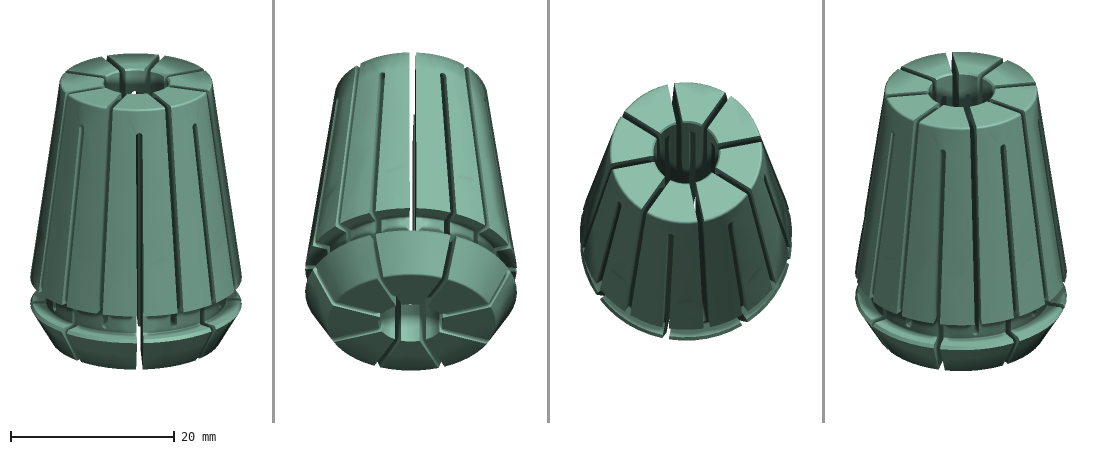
import cadquery as cq
import math


height = 34.0
max_radius = 13.0
rim_fillet = 0.3

nose_angle = 30.0
nose_height = 4.6
ledge_z = 5.0
ledge_bevel = 0.27

neck_radius = 11.0
neck_fillet = 0.2
groove_top_z = 8.13

taper_angle = 8.0

bore_radius = 4.0
bore_chamfer = 0.2

slots_per_set = 8
slot_width = 0.8
slot_overrun = 0.35
lower_slot_end_z = 31.08
upper_slot_end_z = 5.47
slot_pitch = 360.0 / slots_per_set

nose_radius = max_radius - nose_height * math.tan(math.radians(nose_angle))
taper_top_radius = max_radius - (height - groove_top_z) * math.tan(math.radians(taper_angle))


def make_body():
    """Revolved outer shape: nose cone, groove and main taper, with rounded end rims."""
    profile = (
        cq.Workplane("XZ")
        .lineTo(nose_radius, 0)
        .lineTo(max_radius, nose_height)
        .lineTo(max_radius - ledge_bevel, ledge_z)
        .lineTo(neck_radius + neck_fillet, ledge_z)
        .tangentArcPoint((neck_radius, ledge_z + neck_fillet), relative=False)
        .lineTo(neck_radius, groove_top_z - neck_fillet)
        .tangentArcPoint((neck_radius + neck_fillet, groove_top_z), relative=False)
        .lineTo(max_radius, groove_top_z)
        .lineTo(taper_top_radius, height)
        .lineTo(0, height)
        .close()
    )
    body = profile.revolve(360, (0, 0, 0), (0, 1, 0))
    return body.faces(">Z or <Z").edges().fillet(rim_fillet)


def cut_bore(body):
    """Through bore with a chamfered mouth at the top."""
    bore = cq.Workplane("XY").circle(bore_radius).extrude(height)
    mouth = (
        cq.Workplane("XY", origin=(0, 0, height - bore_chamfer))
        .circle(bore_radius)
        .workplane(offset=bore_chamfer)
        .circle(bore_radius + bore_chamfer)
        .loft()
    )
    return body.cut(bore).cut(mouth)


def make_slot(open_z, end_z, angle):
    """Radial saw cut from the axis outwards, with a full-round end."""
    half_width = slot_width / 2
    toward_open = math.copysign(1, open_z - end_z)
    round_center_z = end_z + toward_open * half_width
    return (
        cq.Workplane("YZ")
        .moveTo(-half_width, open_z)
        .lineTo(-half_width, round_center_z)
        .threePointArc((0, end_z), (half_width, round_center_z))
        .lineTo(half_width, open_z)
        .close()
        .extrude(max_radius + slot_overrun)
        .rotate((0, 0, 0), (0, 0, 1), angle)
    )


result = cut_bore(make_body())
for index in range(slots_per_set):
    result = result.cut(make_slot(0, lower_slot_end_z, index * slot_pitch))
    result = result.cut(make_slot(height, upper_slot_end_z, (index + 0.5) * slot_pitch))